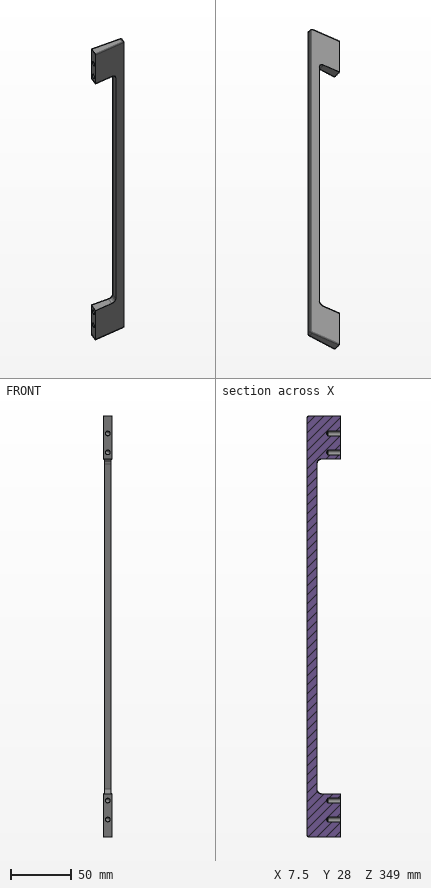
import cadquery as cq
import math

length = 349.0
depth = 28.0
foot_width = 7.5
back_width = 5.0

grip_depth = 8.5
foot_length = 36.0
inner_radius = 4.0
edge_radius = 0.7
corner_radius = 1.7

hole_diameter = 4.0
hole_depth = 10.5
tip_angle = 118.0
hole_heights = (144.0, 160.0)

mount_y = -depth / 2
back_y = depth / 2


def tapered_bar():
    """Full-length bar, narrowing to a grip face; all edges off the mounting face are rounded."""
    bar = (
        cq.Workplane("XY")
        .polyline([
            (-foot_width / 2, mount_y),
            (foot_width / 2, mount_y),
            (back_width / 2, back_y),
            (-back_width / 2, back_y),
        ])
        .close()
        .extrude(length / 2, both=True)
    )
    bar = bar.faces(">Y").edges("|X").fillet(corner_radius)
    return bar.edges("not (|X or <Y)").fillet(edge_radius)


def finger_opening():
    """Space between the feet, rounded where they meet the grip."""
    opening_depth = depth - grip_depth
    return (
        cq.Workplane("XY")
        .box(2 * foot_width, opening_depth, length - 2 * foot_length)
        .translate((0, mount_y + opening_depth / 2, 0))
        .faces(">Y").edges("|X")
        .fillet(inner_radius)
    )


def mounting_hole(z):
    """Blind hole with a conical drill tip, bored from the mounting face."""
    radius = hole_diameter / 2
    tip_depth = radius / math.tan(math.radians(tip_angle / 2))
    bottom_y = mount_y + hole_depth
    return (
        cq.Workplane("XY")
        .moveTo(0, mount_y)
        .lineTo(radius, mount_y)
        .lineTo(radius, bottom_y)
        .lineTo(0, bottom_y + tip_depth)
        .close()
        .revolve(360, (0, 0, 0), (0, 1, 0))
        .translate((0, 0, z))
    )


result = tapered_bar().cut(finger_opening())
for height in hole_heights:
    for side in (-1, 1):
        result = result.cut(mounting_hole(side * height))